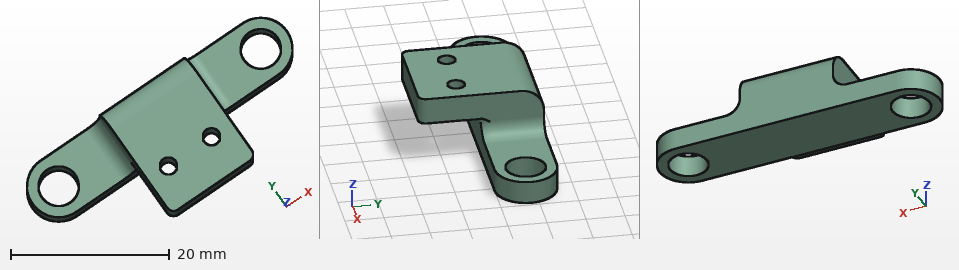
import cadquery as cq
import math

bar_length = 39.0
bar_width = 8.0
bar_thickness = 3.0
bar_hole_diameter = 5.1

tongue_width = 13.0
tongue_length = 16.0
tongue_top = 9.0
tongue_bottom = 5.5
tongue_corner_radius = 1.0
back_edge_radius = 3.0
tongue_hole_diameter = 2.2
tongue_hole_spacing = 6.6
tongue_hole_from_tip = 5.3

neck_corner_radius = 1.0
flare_radius = 2.0
lip_radius = tongue_bottom - bar_thickness - flare_radius

back_y = bar_width / 2
bar_front_y = -bar_width / 2
tip_y = back_y - tongue_length
half_tongue = tongue_width / 2
flare_top = bar_thickness + flare_radius
corner_x = half_tongue - neck_corner_radius
corner_y = bar_front_y + neck_corner_radius
bar_hole_spacing = bar_length - bar_width

arc_near = 1 - math.sqrt(0.5)
arc_far = math.sqrt(0.5)


def box_between(x_range, y_range, z_range):
    """Box spanning the given pairs of limits."""
    return cq.Workplane("XY").box(
        x_range[1] - x_range[0],
        y_range[1] - y_range[0],
        z_range[1] - z_range[0],
        centered=False,
    ).translate((x_range[0], y_range[0], z_range[0]))


def make_bar():
    """Plate with full-round ends."""
    return cq.Workplane("XY").slot2D(bar_length, bar_width).extrude(bar_thickness)


def make_tongue():
    """Tongue with rounded tip corners and a rounded top back edge."""
    tongue = box_between((-half_tongue, half_tongue), (tip_y, back_y), (tongue_bottom, tongue_top))
    return tongue.edges("|Z and <Y").fillet(tongue_corner_radius).edges(">Y and >Z").fillet(back_edge_radius)


def make_neck_body():
    """Neck behind its rounded corners, flaring out sideways onto the bar."""
    foot_x = half_tongue + flare_radius
    mid_x = half_tongue + flare_radius * arc_near
    mid_z = bar_thickness + flare_radius * arc_near
    return (
        cq.Workplane("XZ", origin=(0, back_y, 0))
        .moveTo(-foot_x, bar_thickness)
        .lineTo(foot_x, bar_thickness)
        .threePointArc((mid_x, mid_z), (half_tongue, flare_top))
        .lineTo(half_tongue, tongue_bottom)
        .lineTo(-half_tongue, tongue_bottom)
        .lineTo(-half_tongue, flare_top)
        .threePointArc((-mid_x, mid_z), (-foot_x, bar_thickness))
        .close()
        .extrude(back_y - corner_y)
    )


def make_neck_front():
    """Flat front of the neck, with a concave lip under the tongue."""
    lip_mid = (bar_front_y - lip_radius * arc_near, flare_top + lip_radius * arc_far)
    return (
        cq.Workplane("YZ", origin=(-corner_x, 0, 0))
        .moveTo(corner_y, bar_thickness)
        .lineTo(bar_front_y, bar_thickness)
        .lineTo(bar_front_y, flare_top)
        .threePointArc(lip_mid, (bar_front_y - lip_radius, tongue_bottom))
        .lineTo(corner_y, tongue_bottom)
        .close()
        .extrude(2 * corner_x)
    )


def make_neck_corner():
    """Right front corner of the neck: flare and lip swept a quarter turn about the corner axis."""
    foot_radius = neck_corner_radius + flare_radius
    flare_mid = (
        neck_corner_radius + flare_radius * arc_near,
        bar_thickness + flare_radius * arc_near,
    )
    lip_mid = (neck_corner_radius + lip_radius * arc_near, flare_top + lip_radius * arc_far)
    swept = (
        cq.Workplane("XZ", origin=(corner_x, corner_y, 0))
        .moveTo(0, bar_thickness)
        .lineTo(foot_radius, bar_thickness)
        .threePointArc(flare_mid, (neck_corner_radius, flare_top))
        .threePointArc(lip_mid, (neck_corner_radius + lip_radius, tongue_bottom))
        .lineTo(0, tongue_bottom)
        .close()
        .revolve(90, (0, 0, 0), (0, -1, 0))
    )
    flare_room = box_between(
        (corner_x, corner_x + foot_radius), (bar_front_y, corner_y), (bar_thickness, flare_top)
    )
    lip_room = box_between(
        (corner_x, half_tongue), (corner_y - foot_radius, corner_y), (flare_top, tongue_bottom)
    )
    return swept.intersect(flare_room).union(swept.intersect(lip_room))


def hole_pair(diameter, spacing, y):
    """Two vertical cutting cylinders, mirrored about the YZ plane."""
    centers = [(-spacing / 2, y), (spacing / 2, y)]
    return cq.Workplane("XY").pushPoints(centers).circle(diameter / 2).extrude(tongue_top)


right_corner = make_neck_corner()
left_corner = right_corner.mirror("YZ")

body = make_bar().union(make_neck_body()).union(make_neck_front())
body = body.union(right_corner).union(left_corner).union(make_tongue())

bar_holes = hole_pair(bar_hole_diameter, bar_hole_spacing, 0)
tongue_holes = hole_pair(tongue_hole_diameter, tongue_hole_spacing, tip_y + tongue_hole_from_tip)
result = body.cut(bar_holes).cut(tongue_holes).clean()